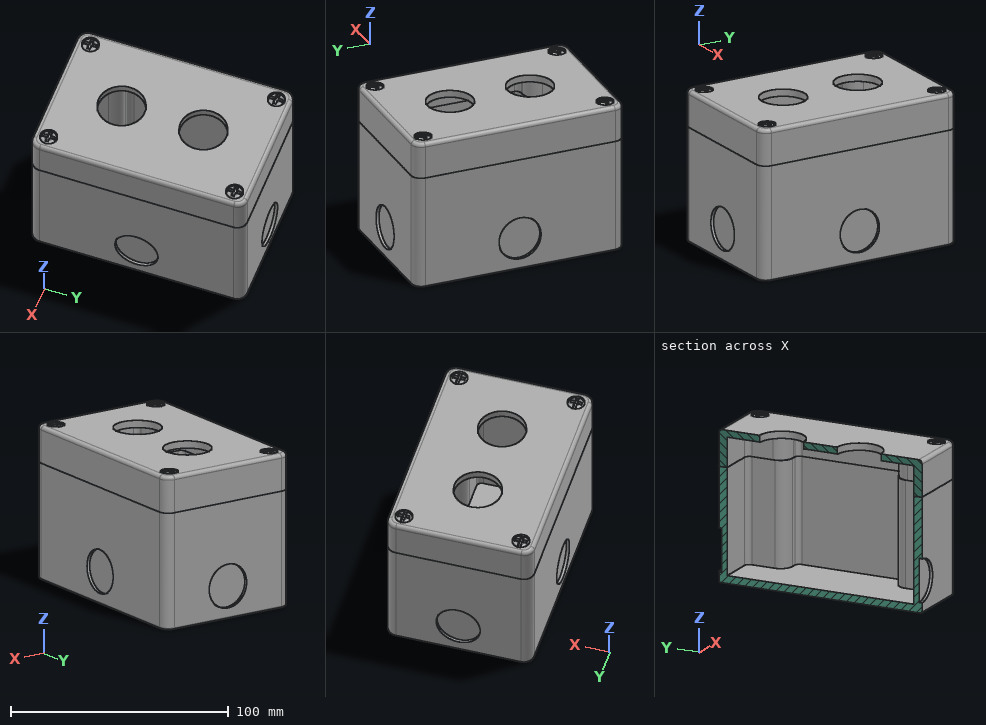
import cadquery as cq
import math

length_x = 70.0
length_y = 105.0
lid_top = 74.0
seam_height = 56.1
corner_radius = 5.0
wall = 4.5
floor_thickness = 4.0
lid_thickness = 3.5
lid_edge_radius = 1.9
base_edge_radius = 1.0

post_length_x = 10.8
post_length_y = 20.3
base_post_nose_radius = 6.0
lid_post_nose_radius = 7.0
post_root_radius = 2.5

button_hole_diameter = 22.5
button_spacing = 40.0
knockout_diameter = 21.0
knockout_depth = 1.5
knockout_height = 15.75

screw_inset = 7.0
screw_proud = 0.21
head_diameter = 8.1
head_flat_diameter = 4.2
head_height = 3.0
slot_width = 1.4
short_slot_length = 5.4
slot_depth = 1.7
shank_diameter = 4.0
shank_length = 30.0

screw_top = lid_top + screw_proud
head_seat = screw_top - head_height
shank_bottom = head_seat - shank_length
screw_points = [
    (side_x * (length_x / 2 - screw_inset), side_y * (length_y / 2 - screw_inset))
    for side_x in (-1, 1)
    for side_y in (-1, 1)
]


def rounded_block(bottom, top):
    """Outer enclosure block with rounded vertical corners."""
    return (
        cq.Workplane("XY", origin=(0, 0, bottom))
        .rect(length_x, length_y)
        .extrude(top - bottom)
        .edges("|Z")
        .fillet(corner_radius)
    )


def cross_cavity(bottom, top, nose_radius):
    """Cavity whose corners are taken up by the screw posts."""
    height = top - bottom
    inner_x = length_x - 2 * wall
    inner_y = length_y - 2 * wall
    waist_x = inner_x - 2 * post_length_x
    waist_y = inner_y - 2 * post_length_y
    plane = cq.Workplane("XY", origin=(0, 0, bottom))
    lengthwise = plane.rect(waist_x, inner_y).extrude(height)
    crosswise = plane.rect(inner_x, waist_y).extrude(height)
    margin = 1.0
    nose_edges = cq.selectors.BoxSelector(
        (-waist_x / 2 - margin, -waist_y / 2 - margin, bottom - margin),
        (waist_x / 2 + margin, waist_y / 2 + margin, top + margin),
    )
    cavity = lengthwise.union(crosswise)
    cavity = cavity.edges("|Z").edges(nose_edges).fillet(nose_radius)
    root_edges = cavity.edges("|Z").edges("<Y or >Y or <X or >X")
    return root_edges.fillet(post_root_radius)


def screw_holes(diameter, bottom, top):
    """Cylinders at the four screw positions."""
    return (
        cq.Workplane("XY", origin=(0, 0, bottom))
        .pushPoints(screw_points)
        .circle(diameter / 2)
        .extrude(top - bottom)
    )


def make_base():
    block = rounded_block(0, seam_height).faces("<Z").edges().fillet(base_edge_radius)
    block = block.cut(cross_cavity(floor_thickness, seam_height, base_post_nose_radius))
    block = block.cut(screw_holes(shank_diameter, shank_bottom, seam_height))

    knockout_x = cq.Workplane("YZ", origin=(-length_x / 2, 0, knockout_height))
    knockout_x = knockout_x.circle(knockout_diameter / 2).extrude(knockout_depth)
    knockout_y = cq.Workplane("XZ", origin=(0, -length_y / 2, knockout_height))
    knockout_y = knockout_y.circle(knockout_diameter / 2).extrude(-knockout_depth)
    for knockout in (knockout_x, knockout_y):
        block = block.cut(knockout)
        block = block.cut(knockout.rotate((0, 0, 0), (0, 0, 1), 180))
    return block


def make_lid():
    block = rounded_block(seam_height, lid_top).faces(">Z").edges().fillet(lid_edge_radius)
    block = block.cut(cross_cavity(seam_height, lid_top - lid_thickness, lid_post_nose_radius))
    buttons = (
        cq.Workplane("XY", origin=(0, 0, seam_height))
        .rarray(1, button_spacing, 1, 2)
        .circle(button_hole_diameter / 2)
        .extrude(lid_top - seam_height)
    )
    block = block.cut(buttons)
    block = block.cut(screw_holes(head_diameter, head_seat, lid_top))
    return block.cut(screw_holes(shank_diameter, seam_height, head_seat))


def make_screw(x, y):
    """Cross-slot screw with a rounded head, revolved about its own axis."""
    head_radius = head_diameter / 2
    flat_radius = head_flat_diameter / 2
    shank_radius = shank_diameter / 2
    rim_angle = math.radians(45)
    rim_radius = head_radius - flat_radius
    rim_bottom = screw_top - rim_radius
    arc_middle = (
        flat_radius + rim_radius * math.sin(rim_angle),
        rim_bottom + rim_radius * math.cos(rim_angle),
    )
    screw = (
        cq.Workplane("XZ")
        .moveTo(0, screw_top)
        .lineTo(flat_radius, screw_top)
        .threePointArc(arc_middle, (head_radius, rim_bottom))
        .lineTo(head_radius, head_seat)
        .lineTo(shank_radius, head_seat)
        .lineTo(shank_radius, shank_bottom)
        .lineTo(0, shank_bottom)
        .close()
        .revolve(360, (0, 0, 0), (0, 1, 0))
    )
    slot_plane = cq.Workplane("XY", origin=(0, 0, screw_top - slot_depth))
    for size_x, size_y in ((short_slot_length, slot_width), (slot_width, head_diameter)):
        screw = screw.cut(slot_plane.rect(size_x, size_y).extrude(slot_depth))
    return screw.translate((x, y, 0))


base = make_base()
lid = make_lid()
screws = [make_screw(x, y) for x, y in screw_points]

result = cq.Compound.makeCompound([base.val(), lid.val(), *[screw.val() for screw in screws]])